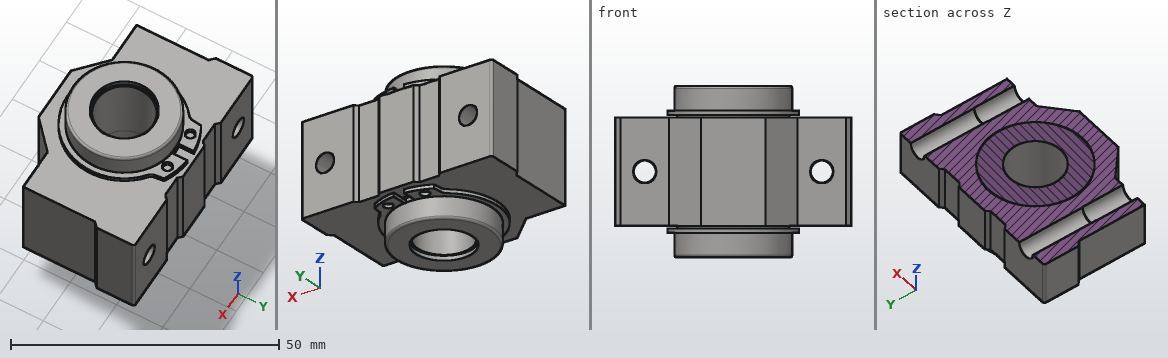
import cadquery as cq
import math

BLOCK_LENGTH = 44.0
BLOCK_HEIGHT = 20.25
HALF_DEPTH = 15.0
SHOULDER_STEP = 1.0
SHOULDER_Y = 6.9
FOOT_Y = -9.6
BOSS_ROOT_HALF_WIDTH = 11.95
BOSS_TIP_HALF_WIDTH = 6.0
CORNER_RADIUS = 0.5
NOTCH_DEPTH = 0.8
NOTCH_INNER_X = 3.95
NOTCH_OUTER_X = 10.0

BOLT_X = 16.5
BOLT_CLEARANCE_DIAMETER = 4.3
BOLT_CORE_DIAMETER = 4.15

BEARING_DIAMETER = 22.0
BEARING_LENGTH = 32.0
BEARING_EDGE_RADIUS = 0.5
BORE_DIAMETER = 12.0
COUNTERBORE_DIAMETER = 12.8
COUNTERBORE_DEPTH = 1.0
GROOVE_DIAMETER = 21.0

RING_RADIUS = 12.28
RING_THICKNESS = 0.85
RING_CLEARANCE = 0.45
RING_HALF_GAP = 1.2
EAR_RADIUS = 14.35
EAR_CORNER_X = 6.85
EAR_BLEND_START = (7.1, 10.65)
EAR_BLEND_MIDDLE = (7.25, 10.08)
EAR_ROOT_X = 7.7
EYE_X = 4.22
EYE_Y = 11.8
EYE_DIAMETER = 2.0

GROOVE_WIDTH = RING_CLEARANCE + RING_THICKNESS


def point_on_circle(radius, x):
    """Point at the given X on the +Y half of a circle about the axis."""
    return (x, math.sqrt(radius**2 - x**2))


def mirrored(point):
    """The same point on the other side of the YZ plane."""
    return (-point[0], point[1])


def make_housing():
    half_length = BLOCK_LENGTH / 2
    waist_x = half_length - SHOULDER_STEP
    notch_floor_y = HALF_DEPTH - NOTCH_DEPTH
    right_side = [
        (BOSS_TIP_HALF_WIDTH, -HALF_DEPTH),
        (BOSS_ROOT_HALF_WIDTH, FOOT_Y),
        (waist_x, FOOT_Y),
        (waist_x, SHOULDER_Y - SHOULDER_STEP),
        (half_length, SHOULDER_Y),
        (half_length, HALF_DEPTH),
        (NOTCH_OUTER_X, HALF_DEPTH),
        (NOTCH_OUTER_X - NOTCH_DEPTH, notch_floor_y),
        (NOTCH_INNER_X + NOTCH_DEPTH, notch_floor_y),
        (NOTCH_INNER_X, HALF_DEPTH),
    ]
    left_side = [mirrored(point) for point in reversed(right_side)]
    block = (
        cq.Workplane("XY")
        .polyline(right_side + left_side)
        .close()
        .extrude(BLOCK_HEIGHT / 2, both=True)
    )
    for end in ("<X", ">X"):
        block = block.faces(end).edges("|Z and >Y").fillet(CORNER_RADIUS)
    bearing_seat = (
        cq.Workplane("XY").circle(BEARING_DIAMETER / 2).extrude(BLOCK_HEIGHT / 2, both=True)
    )
    block = block.cut(bearing_seat)

    bolt_plane = cq.Workplane("XZ").pushPoints([(-BOLT_X, 0), (BOLT_X, 0)])
    core_holes = bolt_plane.circle(BOLT_CORE_DIAMETER / 2).extrude(HALF_DEPTH, both=True)
    clearance_holes = bolt_plane.circle(BOLT_CLEARANCE_DIAMETER / 2).extrude(HALF_DEPTH)
    return block.cut(core_holes).cut(clearance_holes)


def make_bearing():
    bearing = (
        cq.Workplane("XY")
        .circle(BEARING_DIAMETER / 2)
        .extrude(BEARING_LENGTH / 2, both=True)
        .edges("%CIRCLE")
        .fillet(BEARING_EDGE_RADIUS)
    )
    bore = cq.Workplane("XY").circle(BORE_DIAMETER / 2).extrude(BEARING_LENGTH / 2, both=True)
    bearing = bearing.cut(bore)
    for side in (-1, 1):
        counterbore = (
            cq.Workplane("XY", origin=(0, 0, side * BEARING_LENGTH / 2))
            .circle(COUNTERBORE_DIAMETER / 2)
            .extrude(-side * COUNTERBORE_DEPTH)
        )
        groove = (
            cq.Workplane("XY", origin=(0, 0, side * BLOCK_HEIGHT / 2))
            .circle(BEARING_DIAMETER / 2)
            .circle(GROOVE_DIAMETER / 2)
            .extrude(side * GROOVE_WIDTH)
        )
        bearing = bearing.cut(counterbore).cut(groove)
    return bearing


def make_retaining_ring(side):
    """Open ring with two eyed ears, above (side 1) or below (side -1) the block."""
    inner_radius = GROOVE_DIAMETER / 2
    near_face_z = side * (BLOCK_HEIGHT / 2 + RING_CLEARANCE)
    ear_root = point_on_circle(RING_RADIUS, EAR_ROOT_X)
    ear_corner = point_on_circle(EAR_RADIUS, EAR_CORNER_X)
    ear_crest = point_on_circle(EAR_RADIUS, EYE_X)
    ear_tip = point_on_circle(EAR_RADIUS, RING_HALF_GAP)
    gap_foot = point_on_circle(inner_radius, RING_HALF_GAP)
    outline = (
        cq.Workplane("XY", origin=(0, 0, near_face_z))
        .moveTo(*mirrored(ear_root))
        .threePointArc((0, -RING_RADIUS), ear_root)
        .threePointArc(EAR_BLEND_MIDDLE, EAR_BLEND_START)
        .lineTo(*ear_corner)
        .threePointArc(ear_crest, ear_tip)
        .lineTo(*gap_foot)
        .threePointArc((0, -inner_radius), mirrored(gap_foot))
        .lineTo(*mirrored(ear_tip))
        .threePointArc(mirrored(ear_crest), mirrored(ear_corner))
        .lineTo(*mirrored(EAR_BLEND_START))
        .threePointArc(mirrored(EAR_BLEND_MIDDLE), mirrored(ear_root))
        .close()
    )
    eyes = (
        cq.Workplane("XY", origin=(0, 0, near_face_z))
        .pushPoints([(-EYE_X, EYE_Y), (EYE_X, EYE_Y)])
        .circle(EYE_DIAMETER / 2)
        .extrude(side * RING_THICKNESS)
    )
    return outline.extrude(side * RING_THICKNESS).cut(eyes)



housing = make_housing()
bearing = make_bearing()
retaining_rings = [make_retaining_ring(side) for side in (-1, 1)]

result = cq.Compound.makeCompound(
    [housing.val(), bearing.val(), *[ring.val() for ring in retaining_rings]]
)